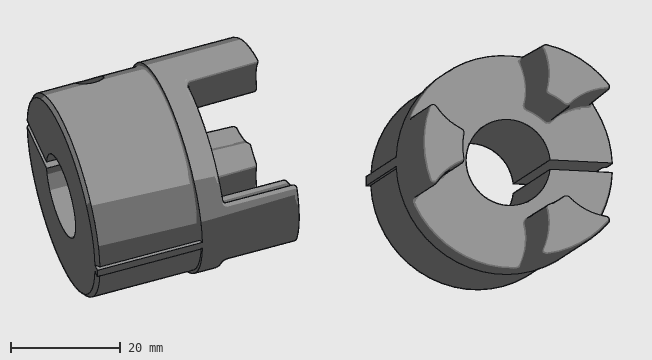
import cadquery as cq
import math


FLANGE_RADIUS = 19.9
HUB_RADIUS = 19.25
BORE_RADIUS = 7.95
SHOULDER_Y = 20.3
FLOOR_Y = 25.05
TOTAL_LENGTH = 39.22
EDGE_RADIUS = 0.7
SHOULDER_FILLET = FLANGE_RADIUS - HUB_RADIUS

SLOT_WIDTH = 1.75

SCREW_X = -13.2
SCREW_Y = 10.22
SCREW_HOLE_RADIUS = 2.55
SCREW_HEAD_RADIUS = 4.1
SCREW_SEAT_Z = -7.15

JAW_HEIGHT = TOTAL_LENGTH - FLOOR_Y
JAW_SPACING = 120.0
LOBE_DISTANCE = 15.9
LOBE_RADIUS = 11.55
INNER_CORNER_RADIUS = 0.88
STRAIGHT_JAW_INNER_RADIUS = 12.37
DRAFTED_JAW_INNER_RADIUS = 10.75
DRAFT_ANGLE = 1.5

JAW_BLANK_RADIUS = FLANGE_RADIUS + 1.2
FLOOR_BLANK_RADIUS = FLANGE_RADIUS + 5.95


def disc(radius, start_y, end_y):
    """Cylinder about the shaft axis between two stations along Y."""
    return cq.Workplane("XZ", origin=(0, start_y, 0)).circle(radius).extrude(start_y - end_y)


def turn_about_shaft(body, angle):
    """Rotate from +X towards +Z."""
    return body.rotate((0, 0, 0), (0, 1, 0), -angle)


def distance_from_shaft(point):
    return math.hypot(point.x, point.z)


def make_lobe(angle, draft):
    """Round clearance between two jaws, wider at the jaw tips when drafted."""
    half_growth = JAW_HEIGHT / 2 * math.tan(math.radians(draft))
    profile = [
        (0, FLOOR_Y),
        (LOBE_RADIUS - half_growth, FLOOR_Y),
        (LOBE_RADIUS + half_growth, TOTAL_LENGTH),
        (0, TOTAL_LENGTH),
    ]
    lobe = cq.Workplane("XY").polyline(profile).close().revolve(360, (0, 0), (0, 1))
    return turn_about_shaft(lobe.translate((LOBE_DISTANCE, 0, 0)), angle)


def make_jaw(angle, inner_radius, draft):
    """Oversize jaw with rounded inner corners, cut from a half ring by the lobes beside it."""
    ring = disc(JAW_BLANK_RADIUS, FLOOR_Y, TOTAL_LENGTH)
    ring = ring.cut(disc(inner_radius, FLOOR_Y, TOTAL_LENGTH))
    half_space = cq.Workplane("XY").box(
        JAW_BLANK_RADIUS, TOTAL_LENGTH, 2 * JAW_BLANK_RADIUS, centered=(False, False, True)
    )
    jaw = ring.intersect(half_space)
    for side in (-1, 1):
        jaw = jaw.cut(make_lobe(side * JAW_SPACING / 2, draft))
    middle_y = FLOOR_Y + JAW_HEIGHT / 2
    inner_corners = cq.selectors.BoxSelector(
        (0, middle_y - 0.4, -LOBE_RADIUS), (LOBE_DISTANCE, middle_y + 0.4, LOBE_RADIUS)
    )
    jaw = jaw.edges(inner_corners).fillet(INNER_CORNER_RADIUS)
    return turn_about_shaft(jaw, angle)


def is_outer_edge(edge):
    """True for the flange-radius edges of the floor and of the jaw sides."""
    middle = edge.positionAt(0.5)
    on_rim = abs(distance_from_shaft(middle) - FLANGE_RADIUS) < 0.005
    is_seam = edge.geomType() == "LINE" and abs(middle.z) < 0.005
    return on_rim and SHOULDER_Y + 0.4 < middle.y < TOTAL_LENGTH - 0.4 and not is_seam


def make_jaw_end():
    """Flange with its three jaws, rounded along the edges of the jaws and the floor."""
    blank = disc(FLOOR_BLANK_RADIUS, SHOULDER_Y, FLOOR_Y)
    blank = blank.union(make_jaw(0, STRAIGHT_JAW_INNER_RADIUS, 0))
    for angle in (JAW_SPACING, -JAW_SPACING):
        blank = blank.union(make_jaw(angle, DRAFTED_JAW_INNER_RADIUS, DRAFT_ANGLE))

    floor_level = cq.selectors.BoxSelector(
        (-JAW_BLANK_RADIUS - 0.4, FLOOR_Y - 0.05, -JAW_BLANK_RADIUS - 0.4),
        (JAW_BLANK_RADIUS + 0.4, FLOOR_Y + 0.05, JAW_BLANK_RADIUS + 0.4),
    )
    jaw_roots = [
        edge
        for edge in blank.edges(floor_level).vals()
        if distance_from_shaft(edge.positionAt(0.5)) < JAW_BLANK_RADIUS + 0.4
    ]
    blank = blank.newObject(jaw_roots).fillet(EDGE_RADIUS)

    jaw_end = blank.intersect(disc(FLANGE_RADIUS, SHOULDER_Y, TOTAL_LENGTH))
    outer_edges = [edge for edge in jaw_end.edges().vals() if is_outer_edge(edge)]
    tip_edges = jaw_end.faces(">Y").edges().vals()
    return jaw_end.newObject(outer_edges + tip_edges).fillet(EDGE_RADIUS)


def make_hub():
    """Plain hub with a chamfered front edge and, on the +Z half only, a fillet to the flange."""
    hub = disc(HUB_RADIUS, 0, SHOULDER_Y).faces("<Y").edges().chamfer(EDGE_RADIUS)
    fillet_start = SHOULDER_Y - SHOULDER_FILLET
    fillet_root = HUB_RADIUS - 0.4
    shoulder = (
        cq.Workplane("XY")
        .moveTo(fillet_root, fillet_start)
        .lineTo(HUB_RADIUS, fillet_start)
        .radiusArc((FLANGE_RADIUS, SHOULDER_Y), SHOULDER_FILLET)
        .lineTo(fillet_root, SHOULDER_Y)
        .close()
        .revolve(180, (0, 0), (0, -1))
    )
    return hub.union(shoulder)


def make_rib():
    """Rib along the hub on the +X side, flush with the flange."""
    rib = cq.Workplane("XY").box(
        FLANGE_RADIUS, SHOULDER_Y, SLOT_WIDTH, centered=(False, False, True)
    )
    return rib.intersect(disc(FLANGE_RADIUS, 0, SHOULDER_Y))


def make_slot():
    """Slot from the bore out through the -X side, over the full length."""
    slot = cq.Workplane("XY").box(
        FLANGE_RADIUS, TOTAL_LENGTH, SLOT_WIDTH, centered=(False, False, True)
    )
    return slot.translate((-FLANGE_RADIUS, 0, 0))


def make_screw_hole():
    """Through hole with a counterbore open to the -Z side."""
    plane = cq.Workplane("XY", origin=(SCREW_X, SCREW_Y, 0))
    hole = plane.circle(SCREW_HOLE_RADIUS).extrude(FLANGE_RADIUS, both=True)
    seat = plane.workplane(offset=SCREW_SEAT_Z).circle(SCREW_HEAD_RADIUS).extrude(-FLANGE_RADIUS)
    return hole.union(seat)


result = (
    make_jaw_end()
    .union(make_hub())
    .union(make_rib())
    .cut(disc(BORE_RADIUS, 0, TOTAL_LENGTH))
    .cut(make_slot())
    .cut(make_screw_hole())
)